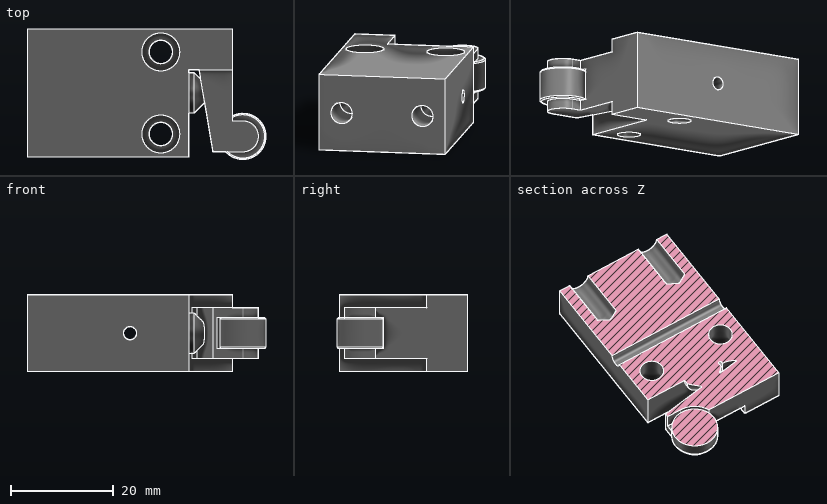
import cadquery as cq
import math

overall_length = 46.5

body_length = 40.0
body_depth = 25.0
body_height = 15.0
notch_x = 31.5
notch_depth = 17.0
mid_y = body_depth / 2
mid_z = body_height / 2

hole_pitch = 16.0
hole_rows = [mid_y - hole_pitch / 2, mid_y + hole_pitch / 2]
mount_x = 26.0
mount_diameter = 4.5
counterbore_diameter = 7.4
counterbore_depth = 4.3
port_diameter = 4.2
port_depth = 10.0
drill_point_angle = 118
cross_hole_diameter = 2.5
cross_hole_x = body_length / 2

plunger_radius = 3.95
plunger_collar = 1.0
plunger_tip_radius = plunger_radius / 2
plunger_length = plunger_collar + plunger_radius - plunger_tip_radius

roller_radius = 4.5
roller_height = 6.05
roller_chamfer = 0.3
roller_x = overall_length - roller_radius
roller_y = 4.05

lever_height = 9.95
lever_back_top_x = 33.45
lever_back_foot_x = 36.15
foot_radius = 3.0
foot_bottom_y = roller_y - foot_radius
foot_top_y = roller_y + foot_radius
roller_slot_radius = 5.0

pivot_pocket_radius = 3.95
pivot_x = body_length - pivot_pocket_radius


def centred_plate(outline, height):
    """Extrude an XY outline equally above and below mid height."""
    return outline.extrude(height / 2, both=True)


def mid_plane():
    return cq.Workplane("XY", origin=(0, 0, mid_z))


def make_body():
    block = cq.Workplane("XY").box(body_length, body_depth, body_height, centered=False)
    notch = (
        cq.Workplane("XY", origin=(notch_x, 0, 0))
        .box(body_length - notch_x, notch_depth, body_height, centered=False)
    )
    return block.cut(notch)


def make_mount_holes():
    centres = [(mount_x, y) for y in hole_rows]
    return (
        cq.Workplane("XY", origin=(0, 0, body_height))
        .pushPoints(centres)
        .circle(mount_diameter / 2)
        .extrude(-body_height)
        .pushPoints(centres)
        .circle(counterbore_diameter / 2)
        .extrude(-counterbore_depth)
    )


def make_port(y):
    """Blind drilled hole from the -X face, with a conical end."""
    radius = port_diameter / 2
    point_length = radius / math.tan(math.radians(drill_point_angle / 2))
    return (
        cq.Workplane("XY", origin=(0, y, mid_z))
        .polyline([(0, 0), (0, radius), (port_depth, radius), (port_depth + point_length, 0)])
        .close()
        .revolve(360, (0, 0, 0), (1, 0, 0))
    )


def make_cross_hole():
    return (
        cq.Workplane("XZ", origin=(cross_hole_x, 0, mid_z))
        .circle(cross_hole_diameter / 2)
        .extrude(-body_depth)
    )


def make_plunger():
    return (
        cq.Workplane("XY", origin=(notch_x, mid_y, mid_z))
        .polyline([
            (0, 0),
            (0, plunger_radius),
            (plunger_collar, plunger_radius),
            (plunger_length, plunger_tip_radius),
            (plunger_length, 0),
        ])
        .close()
        .revolve(360, (0, 0, 0), (1, 0, 0))
    )


def make_lever():
    outline = (
        mid_plane()
        .moveTo(lever_back_top_x, notch_depth)
        .lineTo(lever_back_foot_x, foot_bottom_y)
        .lineTo(roller_x, foot_bottom_y)
        .threePointArc((roller_x + foot_radius, roller_y), (roller_x, foot_top_y))
        .lineTo(body_length, foot_top_y)
        .lineTo(body_length, notch_depth)
        .close()
    )
    return centred_plate(outline, lever_height).cut(make_roller_slot())


def make_roller_slot():
    """Round-ended slot that opens through the -Y and +X sides of the foot."""
    slot_left = roller_x - roller_slot_radius
    slot_right = roller_x + roller_slot_radius
    outline = (
        mid_plane()
        .moveTo(slot_left, 0)
        .lineTo(slot_right, 0)
        .lineTo(slot_right, roller_y)
        .threePointArc((roller_x, roller_y + roller_slot_radius), (slot_left, roller_y))
        .close()
    )
    return centred_plate(outline, roller_height)


def make_roller():
    return (
        cq.Workplane("XY", origin=(roller_x, roller_y, mid_z))
        .cylinder(roller_height, roller_radius)
        .faces("|Z")
        .chamfer(roller_chamfer)
    )


def make_pivot_clearance():
    """Part of the round pivot pocket left open behind the sloping back of the lever."""
    back_slope = (lever_back_foot_x - lever_back_top_x) / (notch_depth - foot_bottom_y)
    pocket_end_y = notch_depth + pivot_pocket_radius
    back_end_x = lever_back_top_x - back_slope * pivot_pocket_radius
    behind_lever = (
        mid_plane()
        .polyline([
            (notch_x, notch_depth),
            (lever_back_top_x, notch_depth),
            (back_end_x, pocket_end_y),
            (notch_x, pocket_end_y),
        ])
        .close()
    )
    pocket = mid_plane().center(pivot_x, notch_depth).circle(pivot_pocket_radius)
    return centred_plate(behind_lever, lever_height).intersect(centred_plate(pocket, lever_height))


result = make_body().cut(make_mount_holes()).cut(make_cross_hole()).cut(make_pivot_clearance())
for row_y in hole_rows:
    result = result.cut(make_port(row_y))
result = result.union(make_lever()).union(make_plunger()).union(make_roller())